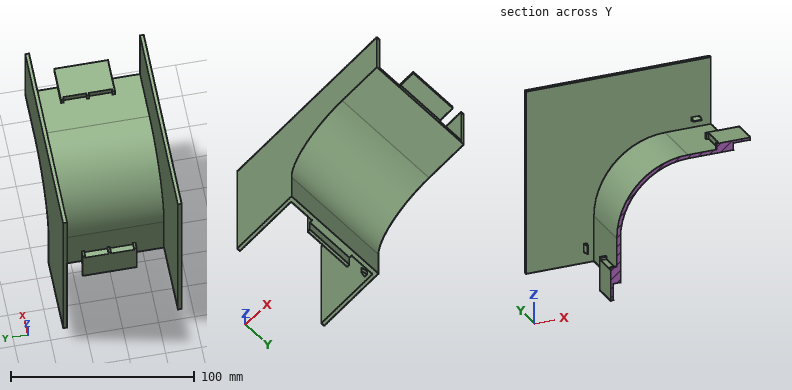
import cadquery as cq

overall = 120.0
width = 65.9
plate_thickness = 2.2
plate_length = 110.0
leg_width = 42.8
web_thickness = 2.5
bend_center = 82.7

tab_width = 30.0
tab_top = 36.8
tongue_thickness = 1.8
tab_inset = 8.8
rib_width = 1.5
rib_length = 1.5

catch_start = 6.8
catch_length = 4.9
catch_height = 3.4
catch_center = 35.2
catch_base = 2.0
catch_tip = 0.5

web_outer = leg_width - web_thickness
plate_end = overall - plate_length
plate_inner_face = width / 2 - plate_thickness


def box(x_range, y_range, z_range):
    """Axis-aligned box between the given limits."""
    x0, x1 = x_range
    y0, y1 = y_range
    z0, z1 = z_range
    size = (x1 - x0, y1 - y0, z1 - z0)
    return cq.Workplane("XY").box(*size, centered=False).translate((x0, y0, z0))


def elbow(offset):
    """Start an XZ path along the inside bend, at an offset from the outer corner."""
    return (
        cq.Workplane("XZ", origin=(0, width / 2, 0))
        .moveTo(offset, plate_end)
        .lineTo(offset, overall - bend_center)
        .radiusArc((bend_center, overall - offset), bend_center - offset)
        .lineTo(plate_length, overall - offset)
    )


def side_plates():
    """Two L-shaped plates with a rounded inside corner."""
    outline = (
        elbow(leg_width)
        .lineTo(plate_length, overall)
        .lineTo(0, overall)
        .lineTo(0, plate_end)
        .close()
    )
    plate = outline.extrude(plate_thickness)
    return plate.union(plate.translate((0, plate_thickness - width, 0)))


def web():
    """Curved wall joining the plates along their inside edge."""
    region = (
        elbow(web_outer)
        .lineTo(plate_length, overall - leg_width)
        .lineTo(bend_center, overall - leg_width)
        .radiusArc((leg_width, overall - bend_center), leg_width - bend_center)
        .lineTo(leg_width, plate_end)
        .close()
    )
    return region.extrude(width)


def joining_tab():
    """Raised pad with three short ribs and a thin tongue past the lower end."""
    half = tab_width / 2
    pad_end = plate_end + tab_inset
    tab = box((tab_top, web_outer), (-half, half), (plate_end, pad_end))
    tongue = box((tab_top, tab_top + tongue_thickness), (-half, half), (0, pad_end))
    tab = tab.union(tongue)
    for y in (-half, -rib_width / 2, half - rib_width):
        rib = box((tab_top, web_outer), (y, y + rib_width), (pad_end, pad_end + rib_length))
        tab = tab.union(rib)
    return tab


def catch():
    """Tapered catch standing on the +Y plate beside the lower tab."""
    tip_y = plate_inner_face - catch_height
    return (
        cq.Workplane("XY", origin=(0, 0, plate_end + catch_start))
        .polyline([
            (catch_center - catch_base / 2, plate_inner_face),
            (catch_center - catch_tip / 2, tip_y),
            (catch_center + catch_tip / 2, tip_y),
            (catch_center + catch_base / 2, plate_inner_face),
        ])
        .close()
        .extrude(catch_length)
    )


def on_other_leg(feature):
    """Mirror a lower-leg feature across the diagonal X + Z = overall."""
    return feature.mirror(cq.Vector(1, 0, 1), (overall, 0, 0))


result = side_plates().union(web())
for feature in (joining_tab(), catch()):
    result = result.union(feature).union(on_other_leg(feature))